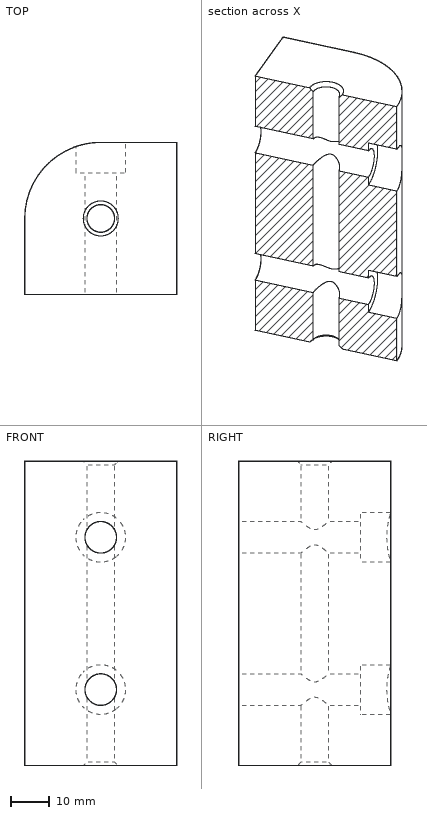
import cadquery as cq

width = 40.0
depth = 40.0
height = 80.0
corner_radius = width / 2

bolt_diameter = 8.2
counterbore_diameter = 13.0
counterbore_depth = 8.0
bolt_heights = (height / 4, 3 * height / 4)

bore_diameter = 7.2
bore_mouth_diameter = 9.2
bore_chamfer = (bore_mouth_diameter - bore_diameter) / 2


def make_block():
    """Upright block with its back left vertical edge rounded."""
    block = cq.Workplane("XY").box(width, depth, height, centered=False)
    return block.edges("|Z and <X and >Y").fillet(corner_radius)


def back_cylinder(diameter, length, z):
    """Cylinder running from the back face toward the front."""
    return cq.Workplane(
        cq.Plane(origin=(width / 2, depth, z), xDir=(1, 0, 0), normal=(0, -1, 0))
    ).circle(diameter / 2).extrude(length)


def make_vertical_bore():
    """Full-height bore that widens into a cone at each end."""
    bore = (
        cq.Workplane("XY")
        .center(width / 2, depth / 2)
        .circle(bore_diameter / 2)
        .extrude(height)
    )
    mouth_radius = bore_mouth_diameter / 2
    throat_radius = bore_diameter / 2
    for z, inward in ((0, 1), (height, -1)):
        cone = cq.Solid.makeCone(
            mouth_radius,
            throat_radius,
            bore_chamfer,
            pnt=cq.Vector(width / 2, depth / 2, z),
            dir=cq.Vector(0, 0, inward),
        )
        bore = bore.union(cq.Workplane(cone))
    return bore


result = make_block().cut(make_vertical_bore())
for bolt_height in bolt_heights:
    result = result.cut(back_cylinder(bolt_diameter, depth, bolt_height))
    result = result.cut(back_cylinder(counterbore_diameter, counterbore_depth, bolt_height))